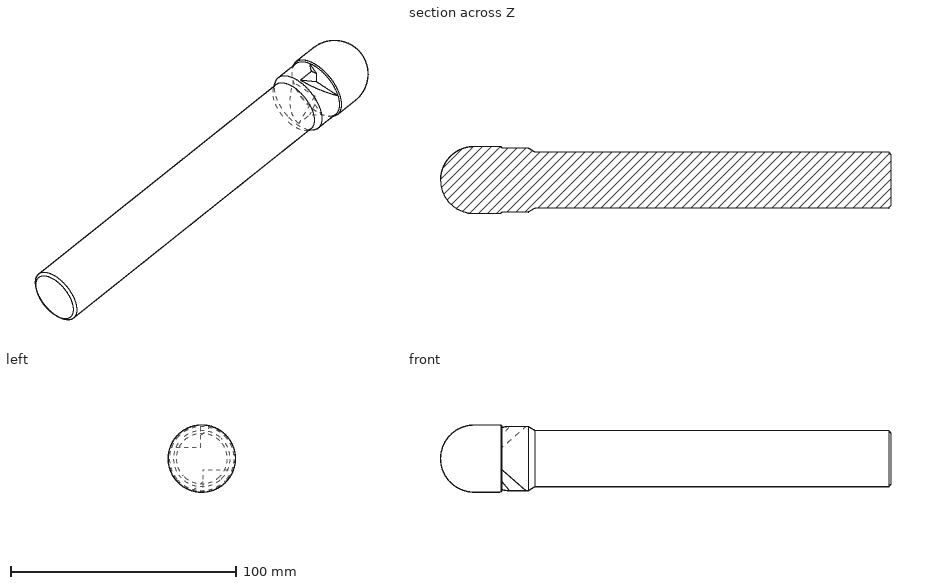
import cadquery as cq

TOTAL_LENGTH = 200.0
HEAD_RADIUS = 15.0
NECK_RADIUS = 14.3
SHANK_RADIUS = 12.5

TAPER_START = 25.7
BEVEL_START = 26.8
BEVEL_RADIUS = 14.9
HEAD_END = 27.4

NECK_END = 39.0
SHANK_START = 42.0

END_CHAMFER_LENGTH = 1.0
END_CHAMFER_HEIGHT = 1.25

POCKET_COUNT = 2
POCKET_WALL_Y = 0.5
POCKET_FLOOR_START_Z = 5.0
POCKET_END = 38.0

RELIEF_SLOPE = 1.2
RELIEF_EDGE_Z = 10.3
RELIEF_FOLD_Y = -1.4
RELIEF_FOLD_Z = 11.9
RELIEF_OUTER_Y = -3.5

AXIS_START = (0, 0, 0)
AXIS_END = (1, 0, 0)


def turned_body():
    nose_mid = HEAD_RADIUS * 0.5**0.5
    return (
        cq.Workplane("XY")
        .moveTo(0, 0)
        .threePointArc((HEAD_RADIUS - nose_mid, nose_mid), (HEAD_RADIUS, HEAD_RADIUS))
        .lineTo(TAPER_START, HEAD_RADIUS)
        .lineTo(BEVEL_START, BEVEL_RADIUS)
        .lineTo(HEAD_END, NECK_RADIUS)
        .lineTo(NECK_END, NECK_RADIUS)
        .lineTo(SHANK_START, SHANK_RADIUS)
        .lineTo(TOTAL_LENGTH - END_CHAMFER_LENGTH, SHANK_RADIUS)
        .lineTo(TOTAL_LENGTH, SHANK_RADIUS - END_CHAMFER_HEIGHT)
        .lineTo(TOTAL_LENGTH, 0)
        .close()
        .revolve(360, AXIS_START, AXIS_END)
    )


def chip_pocket():
    """Wedge with a flat wall beside the axis and a floor that slopes out to the neck surface."""
    return (
        cq.Workplane("XZ", origin=(0, POCKET_WALL_Y, 0))
        .moveTo(HEAD_END, POCKET_FLOOR_START_Z)
        .lineTo(POCKET_END, NECK_RADIUS)
        .lineTo(POCKET_END, HEAD_RADIUS)
        .lineTo(HEAD_END, HEAD_RADIUS)
        .close()
        .extrude(-HEAD_RADIUS)
    )


def pocket_relief():
    """Folded notch profile in the YZ plane, swept outward along the relief slope."""
    pocket_length = POCKET_END - HEAD_END
    outer_z = (NECK_RADIUS**2 - RELIEF_OUTER_Y**2) ** 0.5
    slope = cq.Workplane("XZ", origin=(HEAD_END, 0, 0)).lineTo(pocket_length, RELIEF_SLOPE * pocket_length)
    return (
        cq.Workplane("YZ", origin=(HEAD_END, 0, 0))
        .moveTo(POCKET_WALL_Y, RELIEF_EDGE_Z)
        .lineTo(RELIEF_FOLD_Y, RELIEF_FOLD_Z)
        .lineTo(RELIEF_OUTER_Y, outer_z)
        .lineTo(RELIEF_OUTER_Y, HEAD_RADIUS)
        .lineTo(POCKET_WALL_Y, HEAD_RADIUS)
        .close()
        .sweep(slope)
    )


result = turned_body()
pocket_cutter = chip_pocket().union(pocket_relief())
for index in range(POCKET_COUNT):
    turn = 360 / POCKET_COUNT * index
    result = result.cut(pocket_cutter.rotate(AXIS_START, AXIS_END, turn))